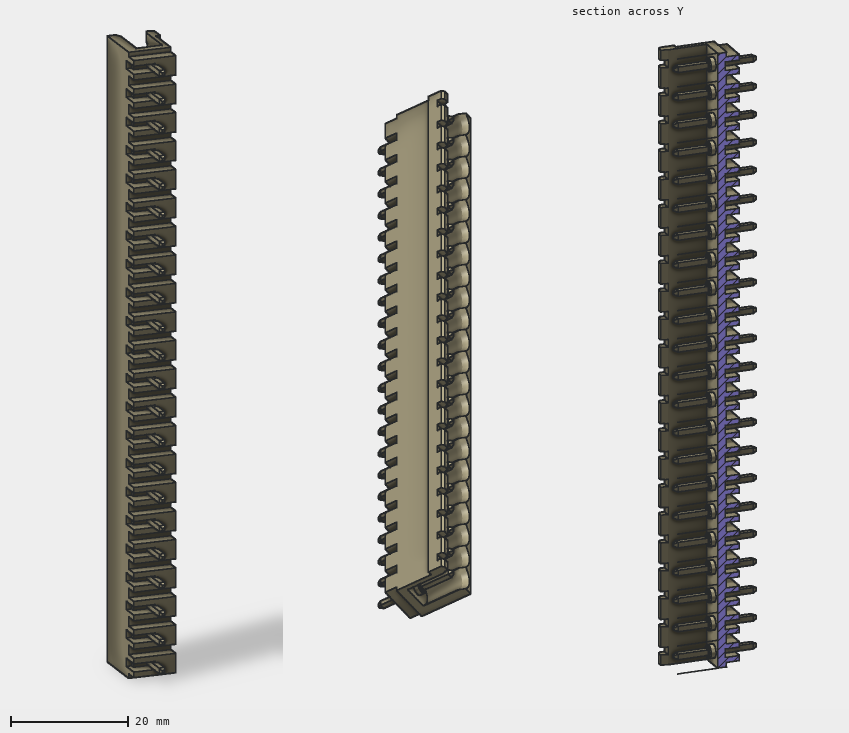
import cadquery as cq

LENGTH = 111.8
PIN_COUNT = 22
PITCH = LENGTH / PIN_COUNT
BODY_X = 10.1
FEET_X = 12.4
FLOOR_X = 8.4
OVERALL_X = 16.2

BACK_Y = 7.7
BUMP_Y = 8.5
INNER_Y = 6.8
BUMP_X = 3.0
TIP_CHAMFER = 0.5
LEAD_IN_X = 1.2
LEAD_IN_Y = 0.3
LATCH_GAP = 1.3
LATCH_GAP_X = 1.2

PIN_Y = 3.9
PIN_SIZE = 1.0
PIN_START_X = 1.0
PIN_TAPER = 0.7
PIN_TIP_SIZE = 0.5
COLLAR_DIAMETER = 2.5
COLLAR_X = 7.3
COLLAR_CHAMFER = 0.2

SCALLOP_RADIUS = 3.1
SCALLOP_FLARE = 0.3

FOOT_HEIGHT = 3.5
SLOT_WIDTH = 1.5
SLOT_X = 8.9
SLOT_DEEP_X = 9.8
SLOT_SHALLOW_Y = 1.0

PIN_HEIGHTS = [(i + 0.5) * PITCH for i in range(PIN_COUNT)]


def box(x0, x1, y0, y1, z0, z1):
    """Axis-aligned block between two opposite corners."""
    return cq.Workplane("XY").box(x1 - x0, y1 - y0, z1 - z0, centered=False).translate((x0, y0, z0))


def centered_box(x0, x1, y0, y1, z, height):
    """Block whose height is centred on z."""
    return box(x0, x1, y0, y1, z - height / 2, z + height / 2)


def make_housing():
    """Block with a latch lip along the tip of its +Y wall."""
    outline = [
        (0, 0),
        (BODY_X, 0),
        (BODY_X, BACK_Y),
        (BUMP_X, BACK_Y),
        (BUMP_X, BUMP_Y),
        (TIP_CHAMFER, BUMP_Y),
        (0, BUMP_Y - TIP_CHAMFER),
    ]
    return cq.Workplane("XY").polyline(outline).close().extrude(LENGTH)


def make_channel():
    """Open channel from the pin axis to the latch wall, flared at its mouth."""
    outline = [
        (0, PIN_Y),
        (FLOOR_X, PIN_Y),
        (FLOOR_X, INNER_Y),
        (LEAD_IN_X, INNER_Y),
        (0, INNER_Y + LEAD_IN_Y),
    ]
    return cq.Workplane("XY").polyline(outline).close().extrude(LENGTH)


def make_scallop(z):
    """Round pocket about one pin, flared at its mouth and kept within one pitch."""
    profile = [
        (0, 0),
        (FLOOR_X, 0),
        (FLOOR_X, SCALLOP_RADIUS),
        (LEAD_IN_X, SCALLOP_RADIUS),
        (0, SCALLOP_RADIUS + SCALLOP_FLARE),
    ]
    pocket = cq.Workplane("XY").polyline(profile).close().revolve(360, (0, 0, 0), (1, 0, 0))
    pocket = pocket.translate((0, PIN_Y, z))
    return pocket.intersect(centered_box(0, FLOOR_X, 0, PIN_Y, z, PITCH))


def make_foot(z):
    """Foot on the back of the housing, as deep in Y as the body."""
    return centered_box(BODY_X, FEET_X, 0, BACK_Y, z, FOOT_HEIGHT)


def make_pin_slot(z):
    """Slot in the -Y face that exposes the rear part of one pin."""
    shallow = centered_box(SLOT_X, FEET_X, 0, SLOT_SHALLOW_Y, z, SLOT_WIDTH)
    deep = centered_box(SLOT_DEEP_X, FEET_X, 0, PIN_Y, z, SLOT_WIDTH)
    return shallow.union(deep)


def make_pin_tip(x, direction, z):
    """Square taper that ends a pin, pointing along +X or -X."""
    end = x + direction * PIN_TAPER
    return (
        cq.Workplane("YZ", origin=(x, PIN_Y, z))
        .rect(PIN_SIZE, PIN_SIZE)
        .workplane(offset=end - x)
        .rect(PIN_TIP_SIZE, PIN_TIP_SIZE)
        .loft(ruled=True)
    )


def make_pin(z):
    """Square pin with tapered ends and a chamfered round collar on the channel floor."""
    front = PIN_START_X + PIN_TAPER
    rear = OVERALL_X - PIN_TAPER
    half = PIN_SIZE / 2
    shaft = centered_box(front, rear, PIN_Y - half, PIN_Y + half, z, PIN_SIZE)
    collar = (
        cq.Workplane("YZ", origin=(COLLAR_X, PIN_Y, z))
        .circle(COLLAR_DIAMETER / 2)
        .extrude(FLOOR_X - COLLAR_X)
        .faces("<X")
        .chamfer(COLLAR_CHAMFER)
    )
    return shaft.union(collar).union(make_pin_tip(front, -1, z)).union(make_pin_tip(rear, 1, z))


def make_latch_gap(z):
    """Notch across the tip of the latch wall."""
    return centered_box(0, LATCH_GAP_X, INNER_Y, BUMP_Y, z, LATCH_GAP)


def combine(make, heights):
    """One compound of the same feature at every pin height."""
    return cq.Workplane(cq.Compound.makeCompound([make(z).val() for z in heights]))


housing = make_housing().union(combine(make_foot, PIN_HEIGHTS))
housing = housing.cut(make_channel())
for height in PIN_HEIGHTS:
    housing = housing.cut(make_scallop(height))
housing = housing.cut(combine(make_latch_gap, PIN_HEIGHTS))
housing = housing.cut(combine(make_pin_slot, PIN_HEIGHTS))
result = housing.union(combine(make_pin, PIN_HEIGHTS))